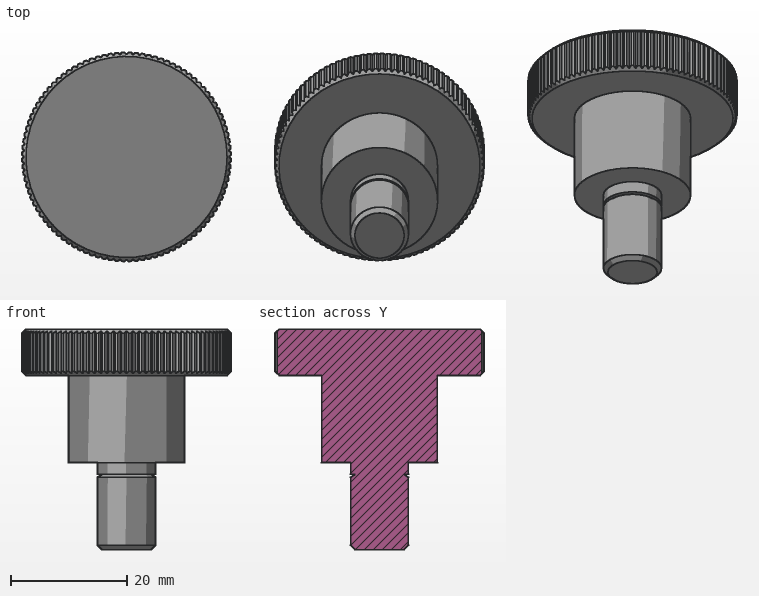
import cadquery as cq
import math

head_radius = 18.0
head_height = 8.0
head_chamfer = 0.7

groove_count = 100
groove_depth = 0.35
groove_angle = 90.0
groove_overrun = 0.5

hub_radius = 10.0
hub_length = 15.0

pin_radius = 5.0
pin_length = 15.0
cut_depth = 0.767
pin_chamfer = cut_depth

relief_offset = 2.0
relief_height = 0.5
relief_depth = cut_depth

hub_bottom = pin_length
head_bottom = hub_bottom + hub_length
head_top = head_bottom + head_height
relief_top = hub_bottom - relief_offset
relief_bottom = relief_top - relief_height


def turned_body():
    """Head, hub and pin revolved about Z from one half profile."""
    profile = [
        (0, 0),
        (pin_radius - pin_chamfer, 0),
        (pin_radius, pin_chamfer),
        (pin_radius, relief_bottom),
        (pin_radius - relief_depth, relief_top),
        (pin_radius, relief_top),
        (pin_radius, hub_bottom),
        (hub_radius, hub_bottom),
        (hub_radius, head_bottom),
        (head_radius - head_chamfer, head_bottom),
        (head_radius, head_bottom + head_chamfer),
        (head_radius, head_top - head_chamfer),
        (head_radius - head_chamfer, head_top),
        (0, head_top),
    ]
    return cq.Workplane("XZ").polyline(profile).close().revolve(360, (0, 0, 0), (0, 1, 0))


def knurl_cutters():
    """V-shaped prisms around the rim, the first one on the +X axis."""
    valley_radius = head_radius - groove_depth
    outer_radius = head_radius + groove_overrun
    half_width = (outer_radius - valley_radius) * math.tan(math.radians(groove_angle / 2))
    cutter = (
        cq.Workplane("XY")
        .workplane(offset=head_bottom)
        .polyline([(valley_radius, 0), (outer_radius, -half_width), (outer_radius, half_width)])
        .close()
        .extrude(head_height)
        .val()
    )
    axis_start = cq.Vector(0, 0, 0)
    axis_end = cq.Vector(0, 0, 1)
    pitch_angle = 360 / groove_count
    return [cutter.rotate(axis_start, axis_end, i * pitch_angle) for i in range(groove_count)]


knob = turned_body().val().cut(*knurl_cutters())
result = cq.Workplane("XY").newObject(knob.Solids())